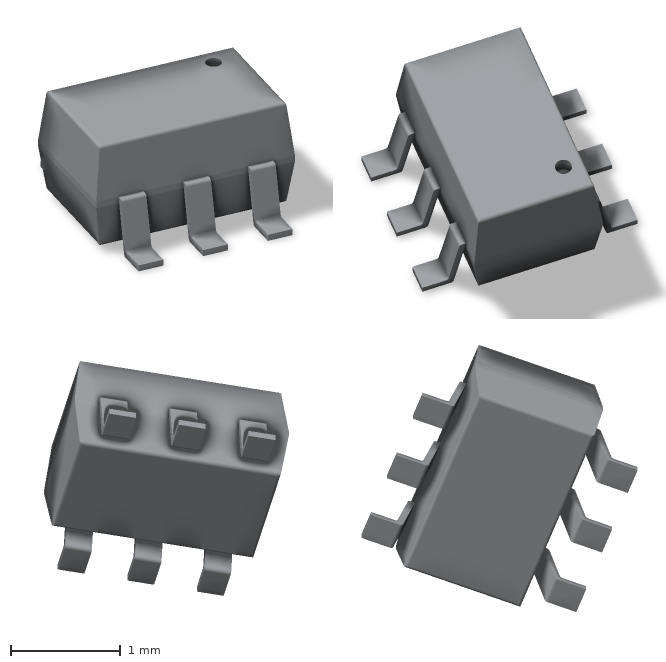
import cadquery as cq
import math

overall_length = 2.1
overall_height = 1.1
housing_length_x = 1.25
housing_length_y = 2.0

standoff = 0.05
lead_thickness = 0.063
band_top = 0.56
band_bottom = band_top - lead_thickness
wall_inset = 0.06
edge_radius = 0.032

mark_diameter = 0.155
mark_depth = 0.155
mark_x = -0.375

leads_per_side = 3
lead_pitch = 0.65
lead_width = 0.25
foot_length = 0.252
shoulder_length = 0.06
bend_radius = 0.03
last_lead_y = (leads_per_side - 1) / 2 * lead_pitch


def tapered_half(base_z, height):
    """Frustum from the housing outline at base_z; a negative height builds it downward."""
    taper = math.degrees(math.atan(wall_inset / abs(height)))
    return (
        cq.Workplane("XY", origin=(0, 0, base_z))
        .rect(housing_length_x, housing_length_y)
        .extrude(height, taper=taper)
    )


def make_housing():
    """Molded block with a straight band, sloped walls and a round recess level with the +Y leads."""
    band = (
        cq.Workplane("XY", origin=(0, 0, band_bottom))
        .rect(housing_length_x, housing_length_y)
        .extrude(lead_thickness)
    )
    upper = tapered_half(band_top, overall_height - band_top)
    lower = tapered_half(band_bottom, standoff - band_bottom)
    block = band.union(upper).union(lower)
    block = block.faces("<Z or >Z").edges().fillet(edge_radius)
    mark = (
        cq.Workplane("XY", origin=(mark_x, last_lead_y, overall_height))
        .circle(mark_diameter / 2)
        .extrude(-mark_depth)
    )
    return block.cut(mark)


def make_lead(side, y_center):
    """Gull-wing lead ending flat on the housing band; side is -1 for -X and +1 for +X."""
    tip_x = overall_length / 2
    housing_x = housing_length_x / 2
    foot_x = tip_x - foot_length
    shoulder_x = housing_x + shoulder_length

    bend_angle = math.atan2(band_top - lead_thickness, foot_x - shoulder_x)
    corner_shift = lead_thickness * math.tan(bend_angle / 2)

    foot_upper_bend = (foot_x, lead_thickness)
    foot_lower_bend = (foot_x - corner_shift, 0)
    shoulder_upper_bend = (shoulder_x, band_top)
    shoulder_lower_corner = (shoulder_x - corner_shift, band_bottom)

    profile = [
        (tip_x, 0),
        (tip_x, lead_thickness),
        foot_upper_bend,
        shoulder_upper_bend,
        (housing_x, band_top),
        (housing_x, band_bottom),
        shoulder_lower_corner,
        foot_lower_bend,
    ]
    lead = (
        cq.Workplane("XZ", origin=(0, y_center + lead_width / 2, 0))
        .polyline([(side * x, z) for x, z in profile])
        .close()
        .extrude(lead_width)
    )

    for x, z in (foot_upper_bend, shoulder_upper_bend, foot_lower_bend):
        bend = cq.selectors.NearestToPointSelector((side * x, y_center, z))
        lead = lead.edges("|Y").edges(bend).fillet(bend_radius)
    return lead


housing = make_housing()

leads = []
for side in (-1, 1):
    for row in range(leads_per_side):
        y_center = row * lead_pitch - last_lead_y
        leads.append(make_lead(side, y_center).val())

result = cq.Compound.makeCompound([housing.val(), *leads])